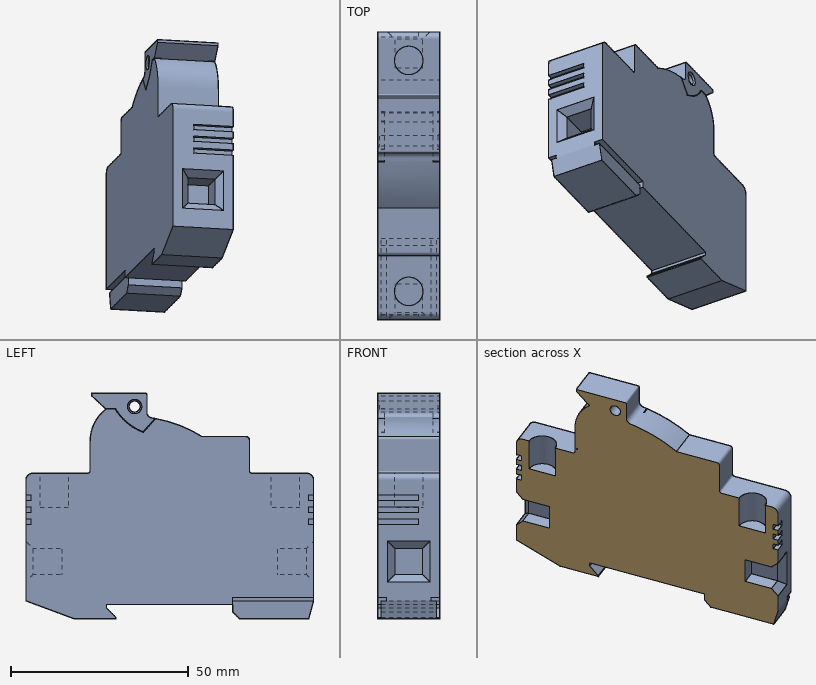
import cadquery as cq

width = 17.5
length = 81.0
height = 63.5
half_width = width / 2
half_length = length / 2

end_bottom_z = 5.0
step_z = 41.0
step_corner_radius = 2.0
tower_half_length = 22.4
tower_foot_radius = 0.6
shoulder_z = 51.3
shoulder_radius = 1.0
slope_foot_y = -9.1
slope_mid = (-0.7, 55.2)
back_arc_start_z = 50.0

handle_front_y = 6.4
handle_foot_z = 56.7
handle_foot_radius = 1.5
handle_edge_radius = 0.5
handle_tip_y = 21.95
handle_tip_z = 62.7
undercut_y = 18.0
undercut_z = 59.0
pin_hole_y = 9.9
pin_hole_z = 59.7
pin_hole_diameter = 3.1
pin_hole_chamfer = 0.5

seam_width = 0.2
seam_depth = 1.9
seam_ledge_end_y = 15.4
seam_arc_mid = (11.8, 54.9)
seam_corner = (7.45, 52.4)
seam_end = (4.0, 56.3)
seam_overrun = 16.2

rail_z = 4.0
foot_ramp_y = 27.0
hook_tip_y = 15.15
hook_tip_z = 0.4
hook_root_y = 17.7
hook_root_z = 3.0
clip_back_y = -17.65
clip_back_chamfer = 1.95
clip_front_rake = 1.4
clip_side_inset = 1.0
clip_slot_height = 1.0
clip_slot_depth = 2.5

vent_count = 3
vent_pitch = 3.4
vent_middle_z = 30.7
vent_height = 1.5
vent_depth = 1.45
vent_length = 11.4

entry_width = 11.9
entry_height = 11.4
entry_z = 16.1
entry_taper = 2.0
entry_straight_depth = 8.1
screw_hole_y = 32.5
screw_hole_diameter = 8.0
screw_hole_depth = 9.7


def box(x_range, y_range, z_range):
    """Axis-aligned block between the given limits."""
    size = [high - low for low, high in (x_range, y_range, z_range)]
    corner = (x_range[0], y_range[0], z_range[0])
    return cq.Workplane("XY").box(*size, centered=False).translate(corner)


def round_edge(body, y, z, radius):
    """Fillet the edge along X that passes through (y, z)."""
    edge = cq.selectors.NearestToPointSelector((0, y, z))
    return body.edges("|X").edges(edge).fillet(radius)


def make_housing():
    """Side profile, including the handle and rail foot, extruded across the width."""
    body = (
        cq.Workplane("YZ", origin=(-half_width, 0, 0))
        .moveTo(half_length, end_bottom_z)
        .lineTo(half_length, step_z)
        .lineTo(tower_half_length, step_z)
        .lineTo(tower_half_length, back_arc_start_z)
        .tangentArcPoint((undercut_y, undercut_z), relative=False)
        .lineTo(handle_tip_y, handle_tip_z)
        .lineTo(handle_tip_y, height)
        .lineTo(handle_front_y, height)
        .lineTo(handle_front_y, handle_foot_z)
        .threePointArc(slope_mid, (slope_foot_y, shoulder_z))
        .lineTo(-tower_half_length, shoulder_z)
        .lineTo(-tower_half_length, step_z)
        .lineTo(-half_length, step_z)
        .lineTo(-half_length, end_bottom_z)
        .lineTo(-half_length + clip_front_rake, 0)
        .lineTo(clip_back_y - clip_back_chamfer, 0)
        .lineTo(clip_back_y, clip_back_chamfer)
        .lineTo(clip_back_y, rail_z)
        .lineTo(hook_root_y, rail_z)
        .lineTo(hook_root_y, hook_root_z)
        .lineTo(hook_tip_y, hook_tip_z)
        .lineTo(hook_tip_y, 0)
        .lineTo(foot_ramp_y, 0)
        .close()
        .extrude(width)
    )
    for side in (-1, 1):
        body = round_edge(body, side * half_length, step_z, step_corner_radius)
        body = round_edge(body, side * tower_half_length, step_z, tower_foot_radius)
    body = round_edge(body, -tower_half_length, shoulder_z, shoulder_radius)
    body = round_edge(body, handle_front_y, height, handle_edge_radius)
    return round_edge(body, handle_front_y, handle_foot_z, handle_foot_radius)


def make_pin_hole():
    """Cross hole through the handle, countersunk on both sides."""
    radius = pin_hole_diameter / 2
    mouth_radius = radius + pin_hole_chamfer
    shoulder_x = half_width - pin_hole_chamfer
    return (
        cq.Workplane("XY")
        .polyline([
            (-half_width, 0),
            (-half_width, mouth_radius),
            (-shoulder_x, radius),
            (shoulder_x, radius),
            (half_width, mouth_radius),
            (half_width, 0),
        ])
        .close()
        .revolve(360, (0, 0, 0), (1, 0, 0))
        .translate((0, pin_hole_y, pin_hole_z))
    )


def make_seam_grooves():
    """Narrow groove following the lower handle outline, cut into both side faces."""
    end_run_y = seam_end[0] + (seam_end[0] - seam_corner[0])
    end_run_z = seam_end[1] + (seam_end[1] - seam_corner[1])
    cheek = (
        cq.Workplane("YZ", origin=(-half_width, 0, 0))
        .moveTo(half_length, undercut_z)
        .lineTo(seam_ledge_end_y, undercut_z)
        .threePointArc(seam_arc_mid, seam_corner)
        .lineTo(end_run_y, end_run_z)
        .lineTo(end_run_y, height + seam_overrun)
        .lineTo(half_length, height + seam_overrun)
        .close()
    )
    inner_cheek = cheek.offset2D(-seam_width).extrude(seam_depth)
    groove = cheek.toPending().extrude(seam_depth).cut(inner_cheek)
    return groove.union(groove.mirror("YZ"))


def make_clip_reliefs():
    """Side clearances that narrow the rail clip and the slots just above it."""
    y_range = (-half_length, clip_back_y)
    slot_x = half_width - clip_slot_depth
    clip_x = half_width - clip_side_inset
    slot = box((slot_x, half_width), y_range, (end_bottom_z, end_bottom_z + clip_slot_height))
    relief = box((clip_x, half_width), y_range, (0, end_bottom_z))
    side = slot.union(relief)
    return side.union(side.mirror("YZ"))


def make_front_vents():
    """Stack of vent slots in the front end face."""
    vents = cq.Workplane("XY")
    for index in range(vent_count):
        bottom_z = vent_middle_z + (index - (vent_count - 1) / 2) * vent_pitch - vent_height / 2
        vents = vents.add(box(
            (-half_width, -half_width + vent_length),
            (-half_length, -half_length + vent_depth),
            (bottom_z, bottom_z + vent_height),
        ))
    return vents.combine()


def make_front_wire_entry():
    """Rectangular funnel in the front end face, leading into a straight pocket."""
    inner_width = entry_width - 2 * entry_taper
    inner_height = entry_height - 2 * entry_taper
    funnel = (
        cq.Workplane("XZ", origin=(0, -half_length, entry_z))
        .rect(entry_width, entry_height)
        .workplane(offset=-entry_taper)
        .rect(inner_width, inner_height)
        .loft(ruled=True)
    )
    pocket = (
        cq.Workplane("XZ", origin=(0, -half_length + entry_taper, entry_z))
        .rect(inner_width, inner_height)
        .extrude(-entry_straight_depth)
    )
    return funnel.union(pocket)


def make_front_screw_hole():
    """Blind screwdriver hole in the front step."""
    return (
        cq.Workplane("XY", origin=(0, -screw_hole_y, step_z))
        .circle(screw_hole_diameter / 2)
        .extrude(-screw_hole_depth)
    )


result = make_housing().cut(make_pin_hole())
result = result.cut(make_seam_grooves())
result = result.cut(make_clip_reliefs())

for make_cutter in (make_front_vents, make_front_wire_entry, make_front_screw_hole):
    cutter = make_cutter()
    result = result.cut(cutter).cut(cutter.mirror("XZ"))